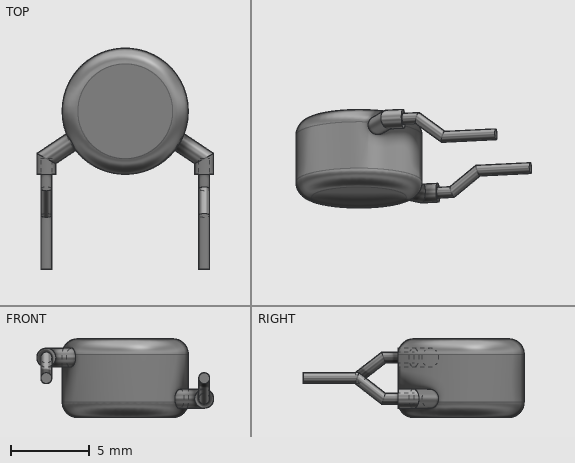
import cadquery as cq
import math

overall_length = 14.0
disc_diameter = 8.0
disc_height = 5.0
rim_radius = 1.0

lead_spacing = 10.0
wire_diameter = 0.7
sleeve_diameter = 1.2
sleeve_height = 1.3
sleeve_angle = 33.7
sleeve_bend_y = -3.0
crank_start_y = -4.91
crank_end_y = -6.6

disc_radius = disc_diameter / 2
lead_x = lead_spacing / 2
sleeve_end_y = -disc_radius
lead_tip_y = disc_radius - overall_length
sleeve_root_x = lead_x / 2


def swept_rod(diameter, points):
    """Round rod with mitred bends along the points; its first leg runs along Y."""
    path = cq.Workplane("XY").polyline(points)
    profile = cq.Workplane("XZ", origin=points[0]).circle(diameter / 2)
    return profile.sweep(path, transition="right")


def on_both_sides(left_shape):
    """The left-hand shape and its copy turned half a turn about Y, so the right one lies low."""
    return [left_shape.rotate((0, 0, 0), (0, 1, 0), angle) for angle in (0, 180)]


def left_sleeve():
    """Bent sleeve, from its open front end to a root buried in the disc."""
    root_rise = (lead_x - sleeve_root_x) * math.tan(math.radians(sleeve_angle))
    return swept_rod(sleeve_diameter, [
        (-lead_x, sleeve_end_y, sleeve_height),
        (-lead_x, sleeve_bend_y, sleeve_height),
        (-sleeve_root_x, sleeve_bend_y + root_rise, sleeve_height),
    ])


def left_lead():
    """Cranked wire, from the sleeve bend down to the mid plane and out to the tip."""
    return swept_rod(wire_diameter, [
        (-lead_x, lead_tip_y, 0),
        (-lead_x, crank_end_y, 0),
        (-lead_x, crank_start_y, sleeve_height),
        (-lead_x, sleeve_bend_y, sleeve_height),
    ])


def coated_disc(leads):
    """Disc and sleeves in one piece, with a socket in each sleeve for its lead."""
    disc = cq.Workplane("XY").cylinder(disc_height, disc_radius)
    disc = disc.faces("<Z or >Z").edges().fillet(rim_radius)
    for sleeve in on_both_sides(left_sleeve()):
        disc = disc.union(sleeve)
    for lead in leads:
        disc = disc.cut(lead)
    return disc


leads = on_both_sides(left_lead())
housing = coated_disc(leads)

result = cq.Compound.makeCompound([housing.solids().val(), *[lead.val() for lead in leads]])